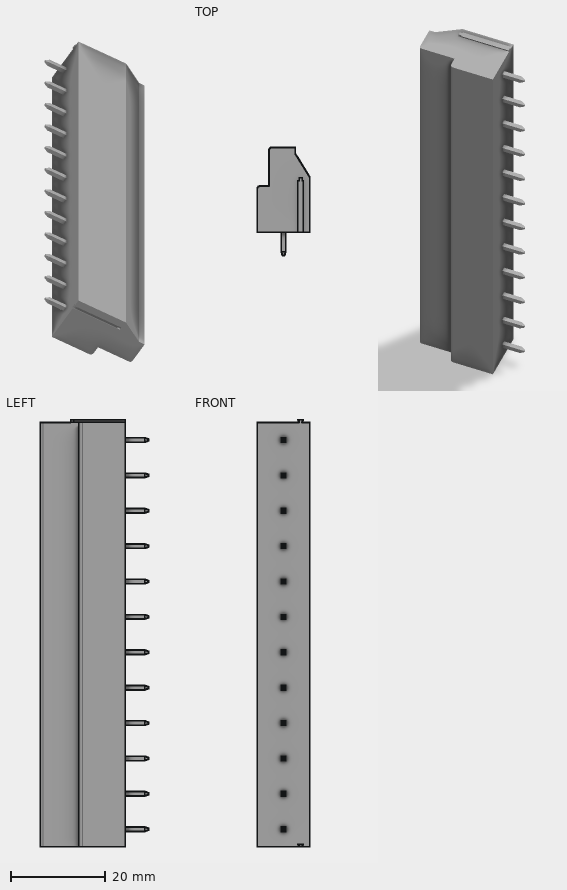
import cadquery as cq

housing_width = 11.2
housing_depth = 18.0
total_height = 90.6
key_height = 0.59
housing_height = total_height - key_height

step_width = 2.5
step_depth = 9.9
step_corner_radius = 0.7
back_corner_radius = 0.5
back_face_end = 8.15
slope_start_depth = 16.7
slope_end_depth = 11.7

pole_count = 12
pole_pitch = housing_height / pole_count
pin_side = 1.0
pin_length = 5.0
pin_tip_length = 0.9
pin_tip_side = 0.4

dovetail_center = 9.2
dovetail_wide = 1.2
dovetail_narrow = 0.6
dovetail_length = 11.0
tongue_length = 11.6


def make_housing():
    blank = (
        cq.Workplane("XY")
        .moveTo(0, 0)
        .lineTo(housing_width, 0)
        .lineTo(housing_width, slope_end_depth)
        .lineTo(back_face_end, slope_start_depth)
        .lineTo(back_face_end, housing_depth)
        .lineTo(step_width, housing_depth)
        .lineTo(step_width, step_depth)
        .lineTo(0, step_depth)
        .close()
        .extrude(housing_height)
    )
    middle = housing_height / 2
    step_edge = cq.selectors.NearestToPointSelector((0, step_depth, middle))
    back_edge = cq.selectors.NearestToPointSelector((step_width, housing_depth, middle))
    rounded = blank.edges(step_edge).fillet(step_corner_radius)
    return rounded.edges(back_edge).fillet(back_corner_radius)


def make_dovetail(base_height):
    """Bar running back from the front face, widening upwards, with a narrow tongue past its end."""
    half_narrow = dovetail_narrow / 2
    half_wide = dovetail_wide / 2
    section = cq.Workplane("XZ", origin=(dovetail_center, 0, base_height))
    bar = (
        section.moveTo(-half_narrow, 0)
        .lineTo(half_narrow, 0)
        .lineTo(half_wide, key_height)
        .lineTo(-half_wide, key_height)
        .close()
        .extrude(-dovetail_length)
    )
    tongue = (
        section.center(0, key_height / 2)
        .rect(dovetail_narrow, key_height)
        .extrude(-tongue_length)
    )
    return bar.union(tongue)


def make_pin(center_height):
    """Square pin on the front face with a tapered tip."""
    shank_length = pin_length - pin_tip_length
    base = cq.Workplane("XZ", origin=(housing_width / 2, 0, center_height))
    shank = base.rect(pin_side, pin_side).extrude(shank_length)
    tip = (
        base.workplane(offset=shank_length)
        .rect(pin_side, pin_side)
        .workplane(offset=pin_tip_length)
        .rect(pin_tip_side, pin_tip_side)
        .loft(ruled=True)
    )
    return shank.union(tip)


result = make_housing().cut(make_dovetail(0)).union(make_dovetail(housing_height))
for pole in range(pole_count):
    pole_middle = (pole + 1 / 2) * pole_pitch
    result = result.union(make_pin(pole_middle))